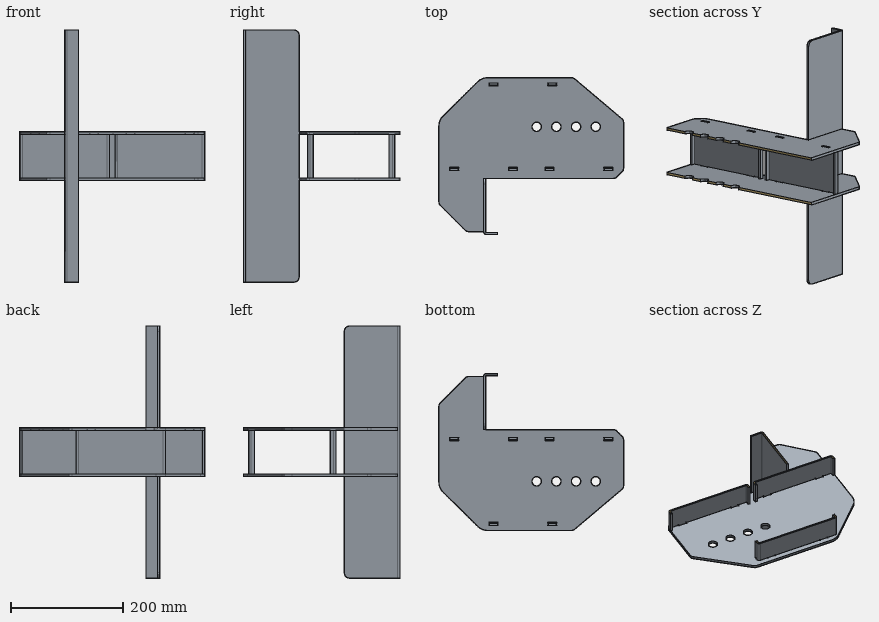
import cadquery as cq

total_width = 330.0
total_depth = 280.0
post_height = 450.0
plate_thickness = 5.0
sheet = 4.0
bend_inner_radius = 0.5
bend_outer_radius = bend_inner_radius + sheet

post_wing = 100.0
post_flange = 24.8
post_left = 80.0
post_corner_radius = 10.0

plate_front_y = 5.0
plate_gap = 77.5
rear_left_run = 77.0
rear_right_run = 90.0
rear_drop = 76.0
leg_corner = 50.0
front_right_corner = 15.0
large_corner_radius = 25.0
small_corner_radius = 9.0

hole_diameter = 16.0
hole_pitch = 35.0
hole_count = 4
last_hole_from_right = 50.0
hole_from_rear = 87.8

web_length = 159.8
web_flange = 11.0
web_edge_inset = 14.5
rear_web_inset = 9.5
rear_web_left = 70.0
tab_length = 14.0
tab_spacing = 105.0
tab_height = plate_thickness
slot_clearance = 1.0
slot_width = 5.5

web_front_y = post_wing + web_edge_inset
web_rear_y = total_depth - rear_web_inset
slot_length = tab_length + 2 * slot_clearance

web_places = [
    (0, web_front_y, 1),
    (total_width - web_length, web_front_y, 1),
    (rear_web_left, web_rear_y, -1),
]


def paired_centers(left, face_y, side, width):
    """Centres in plan of the two tabs, or the two slots, of one web.

    The width is measured inwards from the outer face of the web.
    """
    middle_x = left + web_length / 2
    y = face_y + side * width / 2
    return [(middle_x - tab_spacing / 2, y), (middle_x + tab_spacing / 2, y)]


def round_corner(body, x, y, radius):
    """Round the vertical edge of a body that stands at (x, y)."""
    reach = 0.5
    corner = cq.selectors.BoxSelector(
        (x - reach, y - reach, -post_height), (x + reach, y + reach, post_height)
    )
    return body.edges("|Z").edges(corner).fillet(radius)


def make_plate(bottom_z):
    rear_corner_y = total_depth - rear_drop
    corners = [
        (0, rear_corner_y, large_corner_radius),
        (rear_left_run, total_depth, large_corner_radius),
        (total_width - rear_right_run, total_depth, small_corner_radius),
        (total_width, rear_corner_y, small_corner_radius),
        (total_width, post_wing + front_right_corner, small_corner_radius),
        (total_width - front_right_corner, post_wing, small_corner_radius),
        (post_left, post_wing, 0),
        (post_left, plate_front_y, 0),
        (leg_corner, plate_front_y, small_corner_radius),
        (0, plate_front_y + leg_corner, small_corner_radius),
    ]
    outline = [(x, y) for x, y, radius in corners]
    plate = cq.Workplane("XY").workplane(offset=bottom_z).polyline(outline).close().extrude(plate_thickness)
    for x, y, radius in corners:
        if radius:
            plate = round_corner(plate, x, y, radius)

    last_hole_x = total_width - last_hole_from_right
    holes = [
        (last_hole_x - i * hole_pitch, total_depth - hole_from_rear) for i in range(hole_count)
    ]
    slots = [center for place in web_places for center in paired_centers(*place, slot_width)]
    base = cq.Workplane("XY").workplane(offset=bottom_z)
    plate = plate.cut(base.pushPoints(holes).circle(hole_diameter / 2).extrude(plate_thickness))
    return plate.cut(base.pushPoints(slots).rect(slot_length, slot_width).extrude(plate_thickness))


def make_post():
    right = post_left + post_flange
    inner_x = post_left + sheet
    profile = [
        (post_left, 0), (right, 0), (right, sheet),
        (inner_x, sheet), (inner_x, post_wing), (post_left, post_wing),
    ]
    post = cq.Workplane("XY").workplane(offset=-post_height / 2)
    post = post.polyline(profile).close().extrude(post_height)
    post = round_corner(post, post_left, 0, bend_outer_radius)
    post = round_corner(post, inner_x, sheet, bend_inner_radius)
    return post.faces(">Y").edges("|X").fillet(post_corner_radius)


def make_web(left, face_y, side):
    right = left + web_length
    inner_y = face_y + side * sheet
    end_y = face_y + side * web_flange
    profile = [
        (left, face_y), (right, face_y), (right, end_y), (right - sheet, end_y),
        (right - sheet, inner_y), (left + sheet, inner_y), (left + sheet, end_y), (left, end_y),
    ]
    web = cq.Workplane("XY").workplane(offset=-plate_gap / 2)
    web = web.polyline(profile).close().extrude(plate_gap)
    for x, inward in ((left, 1), (right, -1)):
        web = round_corner(web, x, face_y, bend_outer_radius)
        web = round_corner(web, x + inward * sheet, inner_y, bend_inner_radius)
    tabs = cq.Workplane("XY").pushPoints(paired_centers(left, face_y, side, sheet))
    return web.union(tabs.rect(tab_length, sheet).extrude(plate_gap / 2 + tab_height, both=True))


plates = [make_plate(bottom_z) for bottom_z in (-plate_gap / 2 - plate_thickness, plate_gap / 2)]
post = make_post()
webs = [make_web(*place) for place in web_places]

result = cq.Compound.makeCompound([body.val() for body in [*plates, post, *webs]])